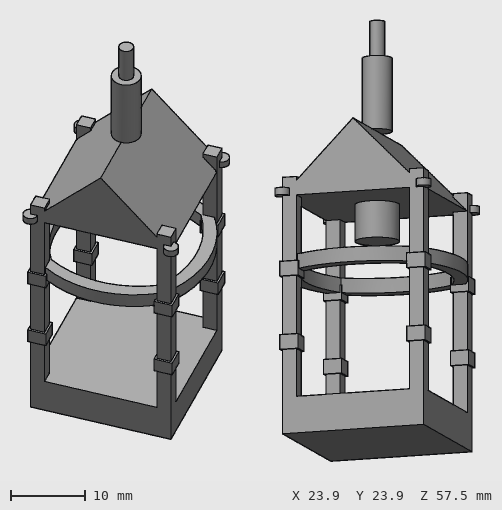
import cadquery as cq

base_side = 20.0
base_height = 5.0
post_side = 2.0
post_top = 35.0
post_offset = (base_side - post_side) / 2
corner_offset = base_side / 2
corner_signs = [(sx, sy) for sx in (-1, 1) for sy in (-1, 1)]

band_overhang = 0.3
band_side = post_side + 2 * band_overhang
band_height = 2.0
band_bottoms = (11.5, 21.5)

hoop_outer_reach = 11.95
hoop_outer_corner = post_offset
hoop_inner_reach = 10.0
hoop_inner_corner = 7.8
hoop_height = 2.0
hoop_bottom = 22.5

eave_height = 32.5
ridge_height = eave_height + base_side / 2

lamp_diameter = 6.0
lamp_length = 5.0

stud_diameter = 2.0
stud_height = 1.0
stud_bottom = eave_height

total_height = 57.5
spire_diameter = 4.0
tip_diameter = 2.0
tip_length = 5.0
spire_length = total_height - ridge_height - tip_length


def block(side, height, x, y, bottom):
    """Square upright block centred on (x, y)."""
    return cq.Workplane("XY", origin=(x, y, bottom)).rect(side, side).extrude(height)


def cylinder(diameter, height, x, y, bottom):
    """Upright cylinder centred on (x, y)."""
    return cq.Workplane("XY", origin=(x, y, bottom)).circle(diameter / 2).extrude(height)


def four_arc_plate(reach, corner):
    """Plate with four bulging sides.

    reach is the distance from the axis to mid-side, corner is the X and Y distance of each corner.
    """
    return (
        cq.Workplane("XY", origin=(0, 0, hoop_bottom))
        .moveTo(-corner, -corner)
        .threePointArc((0, -reach), (corner, -corner))
        .threePointArc((reach, 0), (corner, corner))
        .threePointArc((0, reach), (-corner, corner))
        .threePointArc((-reach, 0), (-corner, -corner))
        .close()
        .extrude(hoop_height)
    )


def make_hoop():
    """Four-arc ring whose corners lie inside the posts."""
    outer = four_arc_plate(hoop_outer_reach, hoop_outer_corner)
    inner = four_arc_plate(hoop_inner_reach, hoop_inner_corner)
    return outer.cut(inner)


def make_roof():
    """Solid triangular prism as deep as the base."""
    return (
        cq.Workplane("XZ")
        .moveTo(-base_side / 2, eave_height)
        .lineTo(base_side / 2, eave_height)
        .lineTo(0, ridge_height)
        .close()
        .extrude(base_side / 2, both=True)
    )


def make_post(sx, sy):
    """Corner post with its bands and its stud."""
    x = sx * post_offset
    y = sy * post_offset
    post = block(post_side, post_top, x, y, 0)
    for band_bottom in band_bottoms:
        post = post.union(block(band_side, band_height, x, y, band_bottom))
    stud = cylinder(stud_diameter, stud_height, sx * corner_offset, sy * corner_offset, stud_bottom)
    return post.union(stud)


def make_lantern():
    """Base, posts, hoop, roof and lamp as one body."""
    lantern = block(base_side, base_height, 0, 0, 0)
    for sx, sy in corner_signs:
        lantern = lantern.union(make_post(sx, sy))
    lamp = cylinder(lamp_diameter, lamp_length, 0, 0, eave_height - lamp_length)
    return lantern.union(make_hoop()).union(make_roof()).union(lamp)


def make_spire():
    """Stepped round spire whose flat foot touches the ridge."""
    shaft = cylinder(spire_diameter, spire_length, 0, 0, ridge_height)
    tip = cylinder(tip_diameter, tip_length, 0, 0, ridge_height + spire_length)
    return shaft.union(tip)


lantern = make_lantern()
spire = make_spire()

result = cq.Compound.makeCompound([lantern.val(), spire.val()])